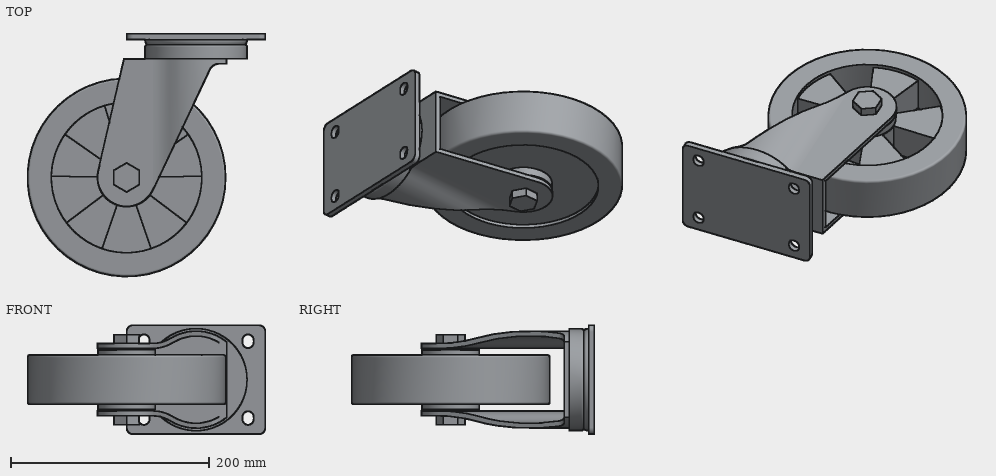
import cadquery as cq
import math


wheel_diameter = 200.0
wheel_width = 50.0
tread_fillet = 2.5
rim_inner_diameter = 151.8
rim_recess_depth = 4.0
pocket_count = 5
pocket_angle = 34.0
first_pocket_direction = 18.0
pocket_floor_thickness = 5.0
column_diameter = 59.0
hub_diameter = 58.0
hub_width = 60.0

axle_diameter = 20.02
hex_across_flats = 25.4
hex_height = 9.0

plate_length = 140.0
plate_width = 110.0
plate_thickness = 6.0
plate_corner_radius = 6.5
plate_top = 145.0
slot_width = 11.0
slot_length = 13.5
slot_spacing_x = 105.0
slot_spacing_z = 77.5

swivel_x = plate_length / 2
swivel_diameter = 103.04
bearing_band_height = 0.7
groove_depth = 1.8
groove_below_plate = 5.0
cup_shoulder_drop = 2.3

fork_thickness = 5.0
fork_top = 119.5
fork_front_x = 100.8
fork_back_x = -2.8
leg_inner_z = 31.5
leg_outer_z = leg_inner_z + fork_thickness
leg_end_radius = 29.5
bend_start_x = 26.4
bulge_radius = 49.0
leg_front_slope_angle = 64.7
leg_front_fillet = 10.0

plate_bottom = plate_top - plate_thickness
fork_underside = fork_top - fork_thickness
recess_floor_z = wheel_width / 2 - rim_recess_depth
pocket_floor_z = pocket_floor_thickness - recess_floor_z


def cylinder_about_axle(diameter, width):
    return cq.Workplane("XY").circle(diameter / 2).extrude(width / 2, both=True)


def wheel_pocket(direction):
    """Sector-shaped pocket between two spokes, open toward +Z."""
    half_angle = math.radians(pocket_angle / 2)
    reach = rim_inner_diameter
    rise = reach * math.tan(half_angle)
    wedge = (
        cq.Workplane("XY", origin=(0, 0, pocket_floor_z))
        .polyline([(0, 0), (reach, -rise), (reach, rise)])
        .close()
        .extrude(recess_floor_z - pocket_floor_z)
        .rotate((0, 0, 0), (0, 0, 1), direction)
    )
    ring = cylinder_about_axle(rim_inner_diameter, wheel_width).cut(
        cylinder_about_axle(column_diameter, wheel_width)
    )
    return wedge.intersect(ring)


def make_wheel():
    """Tyre with both faces recessed inside the rim, five pockets and a protruding hub."""
    wheel = cylinder_about_axle(wheel_diameter, wheel_width).edges().fillet(tread_fillet)
    recesses = cylinder_about_axle(rim_inner_diameter, wheel_width).cut(
        cylinder_about_axle(rim_inner_diameter, 2 * recess_floor_z)
    )
    wheel = wheel.cut(recesses)
    for index in range(pocket_count):
        wheel = wheel.cut(wheel_pocket(first_pocket_direction + index * 360 / pocket_count))
    return wheel.union(cylinder_about_axle(hub_diameter, hub_width))


def make_axle():
    """Round axle with a hexagonal head outside each fork leg."""
    hex_corner_diameter = hex_across_flats / math.cos(math.pi / 6)
    axle = cylinder_about_axle(axle_diameter, 2 * leg_outer_z)
    head = (
        cq.Workplane("XY", origin=(0, 0, leg_outer_z))
        .polygon(6, hex_corner_diameter)
        .extrude(hex_height)
        .rotate((0, 0, 0), (0, 0, 1), 30)
    )
    return axle.union(head).union(head.mirror("XY"))


def make_plate():
    """Rounded rectangular mounting plate with four slots elongated along Z."""
    return (
        cq.Workplane("XZ", origin=(swivel_x, plate_top, 0))
        .rect(plate_length, plate_width)
        .extrude(plate_thickness)
        .edges("|Y")
        .fillet(plate_corner_radius)
        .faces("<Y")
        .workplane(origin=(swivel_x, plate_bottom, 0))
        .rect(slot_spacing_x, slot_spacing_z, forConstruction=True)
        .vertices()
        .slot2D(slot_length, slot_width, 90)
        .cutThruAll()
    )


def make_swivel_bearing():
    """Bearing turned about the swivel axis, with a rounded groove under the plate."""
    radius = swivel_diameter / 2
    groove_y = plate_bottom - groove_below_plate
    groove_wall_mid_y = (groove_y + plate_bottom - bearing_band_height) / 2
    groove_wall_mid = (radius - groove_depth / 4, groove_wall_mid_y)
    return (
        cq.Workplane("XY", origin=(swivel_x, 0, 0))
        .moveTo(0, fork_top)
        .lineTo(radius, fork_top)
        .lineTo(radius, groove_y - cup_shoulder_drop)
        .tangentArcPoint((radius - groove_depth, groove_y), relative=False)
        .threePointArc(groove_wall_mid, (radius, plate_bottom - bearing_band_height))
        .lineTo(radius, plate_bottom)
        .lineTo(0, plate_bottom)
        .close()
        .revolve(360, (0, 0, 0), (0, 1, 0))
    )


def fork_section(inset):
    """Outline of the fork across the swivel axis, moved inward by inset.

    The straight side flares through a reverse bend into an arc about the swivel axis.
    """
    side_z = leg_outer_z - inset
    radius = bulge_radius - inset
    run = swivel_x - bend_start_x
    bend_radius = (run**2 + leg_outer_z**2 - bulge_radius**2) / (2 * (bulge_radius - leg_outer_z)) + inset
    bend_angle = math.asin(run / (bend_radius + radius))
    half_angle = bend_angle / 2
    bend_mid = (
        bend_start_x + bend_radius * math.sin(half_angle),
        side_z + bend_radius * (1 - math.cos(half_angle)),
    )
    bend_end = (swivel_x - radius * math.sin(bend_angle), radius * math.cos(bend_angle))
    tail_x = -2 * leg_end_radius
    return (
        cq.Workplane("XZ", origin=(0, fork_top, 0))
        .moveTo(tail_x, side_z)
        .lineTo(bend_start_x, side_z)
        .threePointArc(bend_mid, bend_end)
        .threePointArc((swivel_x + radius, 0), (bend_end[0], -bend_end[1]))
        .threePointArc((bend_mid[0], -bend_mid[1]), (bend_start_x, -side_z))
        .lineTo(tail_x, -side_z)
        .close()
    )


def fork_side_profile():
    """Leg outline: a round axle end with tangent edges widening up to the fork top."""
    slope = math.radians(leg_front_slope_angle)
    front_tangent = (leg_end_radius * math.sin(slope), -leg_end_radius * math.cos(slope))
    front_corner_x = front_tangent[0] + (fork_underside - front_tangent[1]) / math.tan(slope)
    back_distance = math.hypot(fork_back_x, fork_top)
    back_direction = math.atan2(fork_top, fork_back_x) + math.acos(leg_end_radius / back_distance)
    back_tangent = (leg_end_radius * math.cos(back_direction), leg_end_radius * math.sin(back_direction))
    profile = (
        cq.Workplane("XY")
        .moveTo(fork_back_x, fork_top)
        .lineTo(*back_tangent)
        .threePointArc((0, -leg_end_radius), front_tangent)
        .lineTo(front_corner_x, fork_underside)
        .lineTo(fork_front_x, fork_underside)
        .lineTo(fork_front_x, fork_top)
        .close()
        .extrude(plate_width / 2, both=True)
    )
    corner = cq.selectors.NearestToPointSelector((front_corner_x, fork_underside, 0))
    return profile.edges("|Z").edges(corner).fillet(leg_front_fillet)


def make_fork():
    """Bent fork: a flat crown under the bearing and two flared legs."""
    depth = fork_top + leg_end_radius
    outside = fork_section(0).extrude(depth)
    inside = fork_section(fork_thickness).extrude(depth).translate((0, -fork_thickness, 0))
    return outside.cut(inside).intersect(fork_side_profile())


result = make_plate()
for component in (make_swivel_bearing(), make_fork(), make_axle(), make_wheel()):
    result = result.union(component)